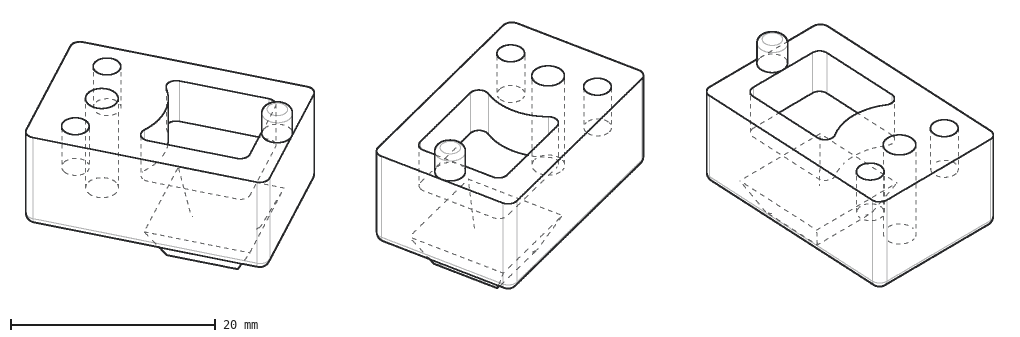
import cadquery as cq
import math

block_length = 25.0
block_width = 16.0
block_height = 11.0
block_edge_radius = 1.0

foot_top_width = 10.85
foot_height = 4.0
foot_draft_angle = 25.0
foot_edge_radius = 0.5

pin_diameter = 3.0
pin_height = 3.0
pin_edge_radius = 0.5

through_hole_diameter = 3.2
through_hole_x = 5.5
blind_hole_diameter = 2.7
blind_hole_x = 4.4
blind_hole_spacing = 10.0
blind_hole_depth = 5.0

pocket_width = 10.0
pocket_depth = 5.0
pocket_arc_radius = 6.5
pocket_corner_radius = 1.0
pocket_right_x = block_length - pin_diameter
pocket_arc_x = through_hole_x + pocket_arc_radius
foot_x = (pocket_arc_x + pocket_right_x) / 2


def make_block():
    return (
        cq.Workplane("XY")
        .box(block_length, block_width, block_height, centered=(False, True, False))
        .edges("|Z or <Z")
        .fillet(block_edge_radius)
    )


def make_foot():
    inset = foot_height * math.tan(math.radians(foot_draft_angle))
    foot_bottom_width = foot_top_width - 2 * inset
    return (
        cq.Workplane("XY")
        .center(foot_x, 0)
        .rect(foot_top_width, foot_top_width)
        .workplane(offset=-foot_height)
        .rect(foot_bottom_width, foot_bottom_width)
        .loft(ruled=True)
        .faces("<Z")
        .edges()
        .fillet(foot_edge_radius)
    )


def make_pocket():
    floor = cq.Workplane("XY", origin=(through_hole_x, 0, block_height - pocket_depth))
    slab = floor.box(
        pocket_right_x - through_hole_x, pocket_width, pocket_depth, centered=(False, True, False)
    )
    bulge = floor.circle(pocket_arc_radius).extrude(pocket_depth)
    return slab.cut(bulge).edges("|Z").fillet(pocket_corner_radius)


def make_housing():
    half_spacing = blind_hole_spacing / 2
    top = cq.Workplane("XY", origin=(0, 0, block_height))
    through_hole = (
        top.center(through_hole_x, 0).circle(through_hole_diameter / 2).extrude(-block_height)
    )
    blind_holes = (
        top.pushPoints([(blind_hole_x, -half_spacing), (blind_hole_x, half_spacing)])
        .circle(blind_hole_diameter / 2)
        .extrude(-blind_hole_depth)
    )
    return make_block().union(make_foot()).cut(make_pocket()).cut(through_hole).cut(blind_holes)


def make_pin():
    return (
        cq.Workplane("XY", origin=(block_length - pin_diameter / 2, 0, block_height))
        .circle(pin_diameter / 2)
        .extrude(pin_height)
        .faces(">Z")
        .edges()
        .fillet(pin_edge_radius)
    )


housing = make_housing()
pin = make_pin()
result = cq.Compound.makeCompound([housing.solids().val(), pin.val()])